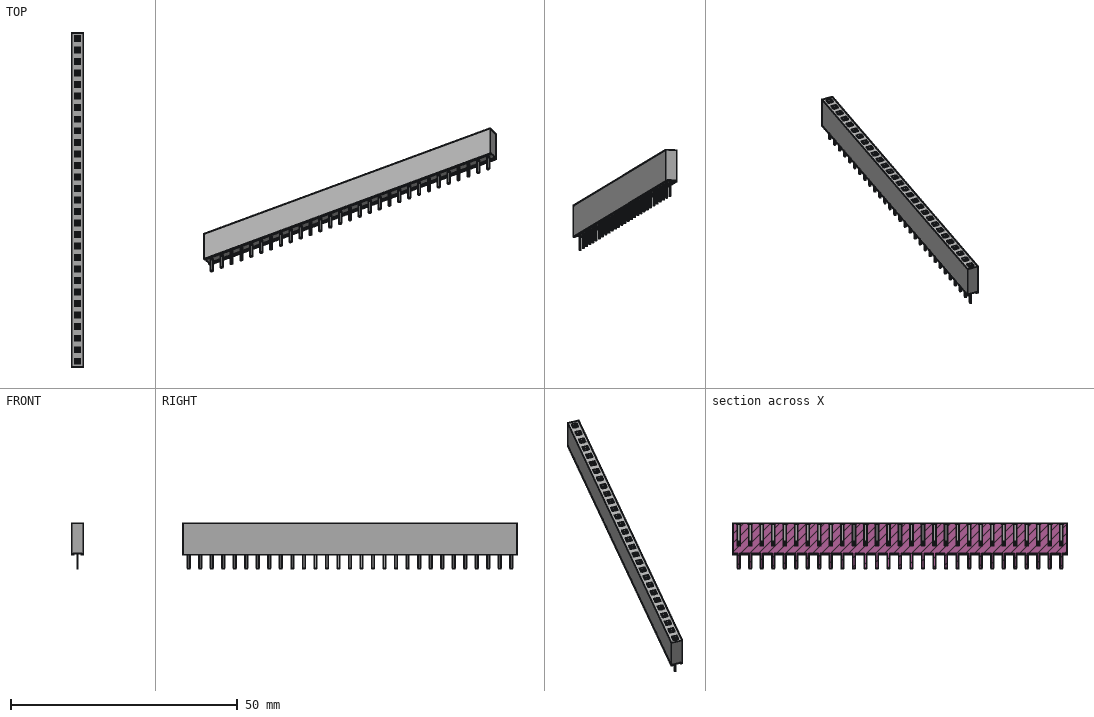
import cadquery as cq

pitch = 2.54
contact_count = 29
body_width = pitch
body_length = contact_count * pitch
body_height = 7.0

foot_width = 0.4
channel_depth = 0.25

cavity_size = 0.6
cavity_depth = 5.0
cavity_floor = body_height - cavity_depth
funnel_mouth = 1.2
funnel_taper = 45
funnel_depth = (funnel_mouth - cavity_size) / 2

pin_length = 3.1
pin_thickness = 0.2
pin_width = 0.6
tip_height = 0.2
tip_inset = 0.15

stem_size = pin_thickness
stem_height = 1.0

first_contact_y = -(contact_count - 1) / 2 * pitch
contact_places = [(0, first_contact_y + index * pitch) for index in range(contact_count)]


def make_block(size_x, size_y, bottom, top):
    """Box centred on the Z axis between two heights."""
    return cq.Workplane("XY", origin=(0, 0, bottom)).rect(size_x, size_y).extrude(top - bottom)


def make_cavities():
    shafts = (
        cq.Workplane("XY", origin=(0, 0, cavity_floor))
        .pushPoints(contact_places)
        .rect(cavity_size, cavity_size)
        .extrude(cavity_depth)
    )
    funnels = (
        cq.Workplane("XY", origin=(0, 0, body_height))
        .pushPoints(contact_places)
        .rect(funnel_mouth, funnel_mouth)
        .extrude(-funnel_depth, taper=funnel_taper)
    )
    return shafts.union(funnels)


def make_body():
    block = make_block(body_width, body_length, 0, body_height)
    channel = make_block(body_width - 2 * foot_width, body_length, 0, channel_depth)
    return block.cut(channel).cut(make_cavities())


def make_contact():
    half_width = pin_width / 2
    half_tip = half_width - tip_inset
    tip_bottom = -pin_length
    tip_top = tip_bottom + tip_height
    blade = (
        cq.Workplane("YZ")
        .polyline(
            [
                (-half_tip, tip_bottom),
                (half_tip, tip_bottom),
                (half_width, tip_top),
                (half_width, cavity_floor),
                (-half_width, cavity_floor),
                (-half_width, tip_top),
            ]
        )
        .close()
        .extrude(pin_thickness / 2, both=True)
    )
    stem = make_block(stem_size, stem_size, 0, cavity_floor + stem_height)
    return blade.union(stem)


result = make_body()
contact = make_contact()
for x, y in contact_places:
    result = result.union(contact.translate((x, y, 0)))